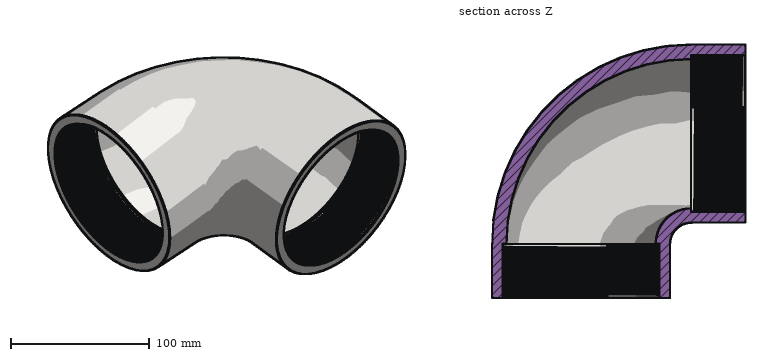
import cadquery as cq

OVERALL = 183.5
OUTER_DIAMETER = 129.0
BORE_DIAMETER = 107.9
SOCKET_LENGTH = 39.3
SOCKET_DIAMETER = 113.0
OUTER_CHAMFER = 0.5
MOUTH_CHAMFER = 0.5

THREAD_TURNS = 16
THREAD_HEIGHT = 1.1
ROOT_WIDTH = 1.5
CREST_WIDTH = 0.5
SHOULDER_GAP = 0.4
THREAD_CLEARANCE = 0.02
START_ANGLE = 70

OUTER_RADIUS = OUTER_DIAMETER / 2
BORE_RADIUS = BORE_DIAMETER / 2
SOCKET_RADIUS = SOCKET_DIAMETER / 2
ROOT_RADIUS = SOCKET_RADIUS - THREAD_CLEARANCE
CREST_RADIUS = SOCKET_RADIUS - THREAD_HEIGHT
AXIS_LENGTH = OVERALL - OUTER_RADIUS
BEND_RADIUS = AXIS_LENGTH - SOCKET_LENGTH
HELIX_START = MOUTH_CHAMFER + ROOT_WIDTH / 2
HELIX_LENGTH = SOCKET_LENGTH - SHOULDER_GAP - ROOT_WIDTH / 2 - HELIX_START
THREAD_PITCH = HELIX_LENGTH / THREAD_TURNS

PORTS = [
    cq.Plane(origin=(0, -AXIS_LENGTH, 0), xDir=(1, 0, 0), normal=(0, 1, 0)),
    cq.Plane(origin=(AXIS_LENGTH, 0, 0), xDir=(0, 1, 0), normal=(-1, 0, 0)),
]


def bend(radius):
    """Quarter-turn round bar that joins the inner ends of the two sockets."""
    profile = cq.Workplane("XZ", origin=(0, -BEND_RADIUS, 0)).circle(radius)
    return profile.revolve(90, (BEND_RADIUS, 0, 0), (BEND_RADIUS, -1, 0))


def port_bar(port, radius):
    """Round bar as long as a socket, from its mouth inward."""
    return cq.Workplane(port).circle(radius).extrude(SOCKET_LENGTH)


def port_outside(port):
    """Outside of one port, with its mouth rim chamfered."""
    mouth = cq.selectors.NearestToPointSelector(port.origin.toTuple())
    return port_bar(port, OUTER_RADIUS).faces(mouth).edges().chamfer(OUTER_CHAMFER)


def mouth_countersink(port):
    """Cone that chamfers the inner rim of a socket."""
    mouth = cq.Workplane(port).circle(SOCKET_RADIUS + MOUTH_CHAMFER)
    return mouth.workplane(offset=MOUTH_CHAMFER).circle(SOCKET_RADIUS).loft()


def make_elbow():
    """Hollow bend with a wider plain socket at each end."""
    body = bend(OUTER_RADIUS)
    for port in PORTS:
        body = body.union(port_outside(port))
    body = body.cut(bend(BORE_RADIUS))
    for port in PORTS:
        body = body.cut(port_bar(port, SOCKET_RADIUS))
        body = body.cut(mouth_countersink(port))
    return body


def make_thread(port):
    """Helical ridge standing inward from the socket wall."""
    helix = cq.Wire.makeHelix(THREAD_PITCH, HELIX_LENGTH, ROOT_RADIUS)
    ridge = (
        cq.Workplane("XZ")
        .moveTo(ROOT_RADIUS, -ROOT_WIDTH / 2)
        .lineTo(ROOT_RADIUS, ROOT_WIDTH / 2)
        .lineTo(CREST_RADIUS, CREST_WIDTH / 2)
        .lineTo(CREST_RADIUS, -CREST_WIDTH / 2)
        .close()
        .sweep(cq.Workplane(helix), isFrenet=True)
        .rotate((0, 0, 0), (0, 0, 1), START_ANGLE)
        .translate((0, 0, HELIX_START))
    )
    return ridge.val().moved(cq.Location(port))


elbow = make_elbow()
threads = [make_thread(port) for port in PORTS]

result = cq.Compound.makeCompound([elbow.val(), *threads])